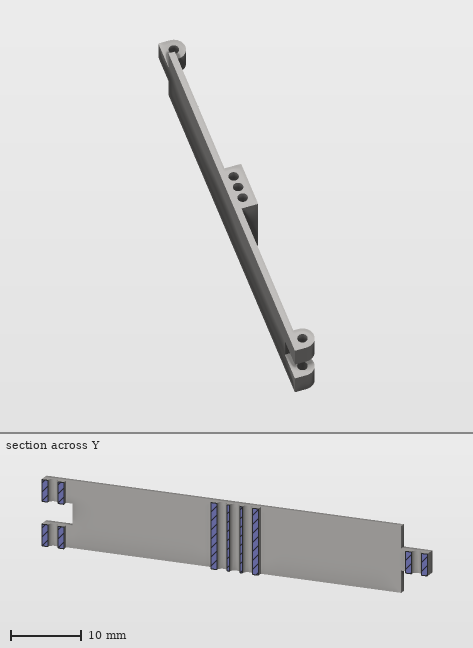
import cadquery as cq

length = 60.0
height = 10.0
plate_thickness = 0.95
knuckle_width = 3.5
hole_diameter = 1.5
hinge_reach = 4.45
block_width = 7.5
block_hole_spacing = 2.0

knuckle_height = height / 3
knuckle_radius = knuckle_width / 2
pin_y = knuckle_radius
left_pin_x = knuckle_radius
right_pin_x = length - knuckle_radius
block_x = length / 2


def box(x, y, z, width, depth, tall):
    """Box placed by its lowest corner."""
    return cq.Workplane("XY").box(width, depth, tall, centered=False).translate((x, y, z))


def knuckle(pin_x, bottom, tall):
    """Hinge knuckle: square against the plate face, round at the back."""
    return (
        cq.Workplane("XY", origin=(pin_x, 0, bottom))
        .moveTo(-knuckle_radius, 0)
        .lineTo(knuckle_radius, 0)
        .lineTo(knuckle_radius, pin_y)
        .threePointArc((0, knuckle_width), (-knuckle_radius, pin_y))
        .close()
        .extrude(tall)
    )


plate = box(hinge_reach, 0, 0, length - hinge_reach, plate_thickness, height)
tab = box(0, 0, knuckle_height, hinge_reach, plate_thickness, knuckle_height)
body = plate.union(tab)

body = body.union(knuckle(left_pin_x, knuckle_height, knuckle_height))
body = body.union(knuckle(right_pin_x, 0, height))

body = body.union(box(block_x - block_width / 2, 0, 0, block_width, knuckle_width, height))

body = body.cut(
    box(length - hinge_reach, 0, knuckle_height, hinge_reach, knuckle_width, knuckle_height)
)

hole_positions = [(left_pin_x, pin_y), (right_pin_x, pin_y)]
for step in (-1, 0, 1):
    hole_positions.append((block_x + step * block_hole_spacing, pin_y))
holes = (
    cq.Workplane("XY")
    .pushPoints(hole_positions)
    .circle(hole_diameter / 2)
    .extrude(height)
)

result = body.cut(holes)